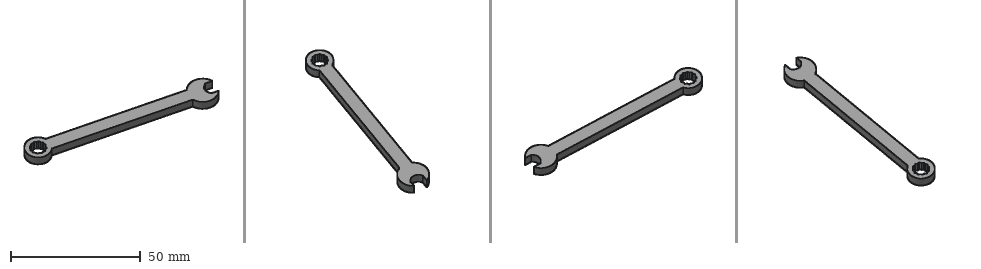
import cadquery as cq
import math

overall_length = 81.3
thickness = 4.0
jaw_gap = 5.7
handle_width = jaw_gap
open_head_radius = 12.4 / 2
ring_radius = 5.4
jaw_floor_offset = 0.9
hexagon_sides = 6

socket_corner_diameter = jaw_gap / math.cos(math.pi / hexagon_sides)
jaw_tip_height = math.sqrt(open_head_radius**2 - (jaw_gap / 2) ** 2)
head_distance = overall_length - ring_radius - jaw_tip_height
jaw_arc_radius = socket_corner_diameter / 2
jaw_arc_center = head_distance + jaw_floor_offset + jaw_arc_radius


def disc(radius, center_y):
    return cq.Workplane("XY").center(0, center_y).circle(radius).extrude(thickness)


def handle():
    return (
        cq.Workplane("XY")
        .center(0, head_distance / 2)
        .rect(handle_width, head_distance)
        .extrude(thickness)
    )


def jaw_cut():
    """Parallel-sided mouth with a shallow arc floor."""
    half_gap = jaw_gap / 2
    floor_y = jaw_arc_center - jaw_arc_radius
    arc_end_y = jaw_arc_center - math.sqrt(jaw_arc_radius**2 - half_gap**2)
    open_end_y = head_distance + open_head_radius
    return (
        cq.Workplane("XY")
        .moveTo(-half_gap, open_end_y)
        .lineTo(-half_gap, arc_end_y)
        .threePointArc((0, floor_y), (half_gap, arc_end_y))
        .lineTo(half_gap, open_end_y)
        .close()
        .extrude(thickness)
    )


def twelve_point_socket():
    """Two hexagons turned half a step apart."""
    hexagon = cq.Workplane("XY").polygon(hexagon_sides, socket_corner_diameter).extrude(thickness)
    half_step = 180 / hexagon_sides
    return hexagon.union(hexagon.rotate((0, 0, 0), (0, 0, 1), half_step))


blank = handle().union(disc(ring_radius, 0)).union(disc(open_head_radius, head_distance))
result = blank.cut(jaw_cut()).cut(twelve_point_socket())